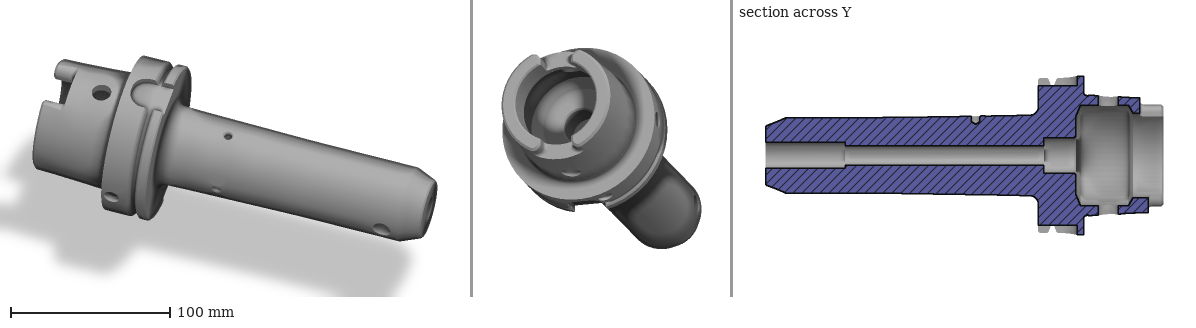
import cadquery as cq
import math


LENGTH = 250.0
FLANGE_START = 50.0
FLANGE_END = 78.7
TAPER_END = 47.0
NECK_TAPER_END = 178.5
NOSE_START = 236.7

SHANK_TIP_RADIUS = 35.7
SHANK_RADIUS = 38.0
TIP_CHAMFER = 1.5
RELIEF_RADIUS = 37.2
RELIEF_LENGTH = 0.7
FACE_FILLET = 1.5

FLANGE_RADIUS = 50.0
FLANGE_CHAMFER = 1.0
GROOVE_CENTRE = 69.7
GROOVE_FLOOR_RADIUS = 45.5
GROOVE_FLOOR_WIDTH = 2.0
GROOVE_MOUTH_WIDTH = 4.7

NECK_FILLET = 5.0
NECK_ROOT_RADIUS = 25.5
NECK_RADIUS = 24.0
NOSE_RADIUS = 19.0
NOSE_CHAMFER = 1.0

CAVITY_RADIUS = 26.5
CAVITY_MOUTH_CHAMFER = 1.0
UNDERCUT_START = 19.2
UNDERCUT_RADIUS = 31.5
CLAMP_SHOULDER_ANGLE = 60.0
CAVITY_FLOOR_RADIUS = 24.5
CAVITY_DEPTH = 55.0
CAVITY_FLOOR_BEVEL = 3.0

COOLANT_THREAD_RADIUS = 11.0
COOLANT_THREAD_CHAMFER = 1.0
COOLANT_THREAD_END = 75.0
COOLANT_RADIUS = 6.0
TOOL_BORE_RADIUS = 8.0
TOOL_BORE_DEPTH = 50.0

DRIVE_SLOT_WIDTH = 20.0
DRIVE_SLOT_DEEP = 14.7
DRIVE_SLOT_SHALLOW = 9.5
DRIVE_SLOT_CORNER = 2.2
DRIVE_SLOT_ROUNDING = 5.0
DRIVE_SLOT_SHOULDER = 32.0

KEYWAY_START = 54.5
KEYWAY_WIDTH = 22.0
KEYWAY_CORNER = 9.7
KEYWAY_FLOOR = 44.0

ACCESS_X = 34.7
ACCESS_DIAMETER = 12.2
CHIP_X = 56.7
CHIP_DIAMETER = 10.0
CHIP_DEPTH = 4.5
INDEX_X = 58.0
INDEX_DIAMETER = 9.2
INDEX_ANGLE = -72.0
BALANCE_X = 118.0
BALANCE_DIAMETER = 5.0
BALANCE_SINK_DIAMETER = 6.7
BALANCE_DEPTH = 3.7
DRILL_POINT_ANGLE = 118.0
DIMPLE_X = 226.2
DIMPLE_DIAMETER = 11.7
DIMPLE_CENTRE_RADIUS = 22.5
VENT_X = 202.5
VENT_DIAMETER = 3.0

FRONT = 0.0
UP = 90.0
VENT_ANGLE = 135.0

ARC_MIDPOINT = 1 - math.sqrt(0.5)


def make_body():
    floor_half = GROOVE_FLOOR_WIDTH / 2
    mouth_half = GROOVE_MOUTH_WIDTH / 2
    rim = FLANGE_RADIUS - FLANGE_CHAMFER
    fillet_end = FLANGE_END + NECK_FILLET
    fillet_top = NECK_ROOT_RADIUS + NECK_FILLET
    arc_offset = NECK_FILLET * ARC_MIDPOINT
    face_arc_offset = FACE_FILLET * ARC_MIDPOINT
    groove_left = GROOVE_CENTRE - mouth_half
    groove_right = GROOVE_CENTRE + mouth_half
    return (
        cq.Workplane("XY")
        .moveTo(0, 0)
        .lineTo(0, SHANK_TIP_RADIUS - TIP_CHAMFER)
        .lineTo(TIP_CHAMFER, SHANK_TIP_RADIUS)
        .lineTo(TAPER_END, SHANK_RADIUS)
        .lineTo(TAPER_END + RELIEF_LENGTH, RELIEF_RADIUS)
        .lineTo(FLANGE_START - FACE_FILLET, SHANK_RADIUS)
        .threePointArc(
            (FLANGE_START - face_arc_offset, SHANK_RADIUS + face_arc_offset),
            (FLANGE_START, SHANK_RADIUS + FACE_FILLET),
        )
        .lineTo(FLANGE_START, FLANGE_RADIUS)
        .lineTo(groove_left - FLANGE_CHAMFER, FLANGE_RADIUS)
        .lineTo(groove_left, rim)
        .lineTo(GROOVE_CENTRE - floor_half, GROOVE_FLOOR_RADIUS)
        .lineTo(GROOVE_CENTRE + floor_half, GROOVE_FLOOR_RADIUS)
        .lineTo(groove_right, rim)
        .lineTo(groove_right + FLANGE_CHAMFER, FLANGE_RADIUS)
        .lineTo(FLANGE_END - FLANGE_CHAMFER, FLANGE_RADIUS)
        .lineTo(FLANGE_END, rim)
        .lineTo(FLANGE_END, fillet_top)
        .threePointArc(
            (FLANGE_END + arc_offset, NECK_ROOT_RADIUS + arc_offset),
            (fillet_end, NECK_ROOT_RADIUS),
        )
        .lineTo(NECK_TAPER_END, NECK_RADIUS)
        .lineTo(NOSE_START, NECK_RADIUS)
        .lineTo(LENGTH - NOSE_CHAMFER, NOSE_RADIUS)
        .lineTo(LENGTH, NOSE_RADIUS - NOSE_CHAMFER)
        .lineTo(LENGTH, 0)
        .close()
        .revolve(360, (0, 0, 0), (1, 0, 0))
    )


def make_axial_cavity():
    shoulder_length = (UNDERCUT_RADIUS - CAVITY_RADIUS) / math.tan(math.radians(CLAMP_SHOULDER_ANGLE))
    tool_bore_floor = LENGTH - TOOL_BORE_DEPTH
    return (
        cq.Workplane("XY")
        .moveTo(0, 0)
        .lineTo(0, CAVITY_RADIUS + CAVITY_MOUTH_CHAMFER)
        .lineTo(CAVITY_MOUTH_CHAMFER, CAVITY_RADIUS)
        .lineTo(UNDERCUT_START, CAVITY_RADIUS)
        .lineTo(UNDERCUT_START + shoulder_length, UNDERCUT_RADIUS)
        .lineTo(CAVITY_DEPTH - CAVITY_FLOOR_BEVEL, UNDERCUT_RADIUS)
        .lineTo(CAVITY_DEPTH, CAVITY_FLOOR_RADIUS)
        .lineTo(CAVITY_DEPTH, COOLANT_THREAD_RADIUS + COOLANT_THREAD_CHAMFER)
        .lineTo(CAVITY_DEPTH + COOLANT_THREAD_CHAMFER, COOLANT_THREAD_RADIUS)
        .lineTo(COOLANT_THREAD_END, COOLANT_THREAD_RADIUS)
        .lineTo(COOLANT_THREAD_END, COOLANT_RADIUS)
        .lineTo(tool_bore_floor, COOLANT_RADIUS)
        .lineTo(tool_bore_floor, TOOL_BORE_RADIUS)
        .lineTo(LENGTH, TOOL_BORE_RADIUS)
        .lineTo(LENGTH, 0)
        .close()
        .revolve(360, (0, 0, 0), (1, 0, 0))
    )


def drive_slot_outline():
    """Slot cross-section on the +Z half, its walls rounding over onto flat shoulders."""
    half = DRIVE_SLOT_WIDTH / 2
    wall_top = DRIVE_SLOT_SHOULDER - DRIVE_SLOT_ROUNDING
    shoulder = half + DRIVE_SLOT_ROUNDING
    setback = DRIVE_SLOT_ROUNDING * ARC_MIDPOINT
    return (
        cq.Workplane("YZ")
        .moveTo(-half, 0)
        .lineTo(-half, wall_top)
        .threePointArc(
            (-half - setback, DRIVE_SLOT_SHOULDER - setback),
            (-shoulder, DRIVE_SLOT_SHOULDER),
        )
        .lineTo(-FLANGE_RADIUS, DRIVE_SLOT_SHOULDER)
        .lineTo(-FLANGE_RADIUS, FLANGE_RADIUS)
        .lineTo(FLANGE_RADIUS, FLANGE_RADIUS)
        .lineTo(FLANGE_RADIUS, DRIVE_SLOT_SHOULDER)
        .lineTo(shoulder, DRIVE_SLOT_SHOULDER)
        .threePointArc(
            (half + setback, DRIVE_SLOT_SHOULDER - setback),
            (half, wall_top),
        )
        .lineTo(half, 0)
        .close()
    )


def make_drive_slot(depth, side):
    """Slot in the +Z (side=1) or -Z (side=-1) shank wall, with rounded end and chamfered mouth."""
    slot = drive_slot_outline().extrude(depth).faces(">X").edges().fillet(DRIVE_SLOT_CORNER)
    mouth = drive_slot_outline().offset2D(TIP_CHAMFER).extrude(TIP_CHAMFER, taper=45)
    slot = slot.union(mouth)
    return slot if side > 0 else slot.rotate((0, 0, 0), (1, 0, 0), 180)


def make_keyway(side):
    """Flat-bottomed round-ended keyway, open towards the neck."""
    length = FLANGE_END - KEYWAY_START
    depth = FLANGE_RADIUS - KEYWAY_FLOOR
    keyway = (
        cq.Workplane("XY", origin=(KEYWAY_START, 0, KEYWAY_FLOOR))
        .box(length, KEYWAY_WIDTH, depth, centered=(False, True, False))
        .edges("<X and |Z")
        .fillet(KEYWAY_CORNER)
    )
    return keyway if side > 0 else keyway.rotate((0, 0, 0), (1, 0, 0), 180)


def radial_plane(x, angle, radius):
    """Workplane on the surface at the given angle from -Y, its normal pointing outwards."""
    a = math.radians(angle)
    normal = (0, -math.cos(a), math.sin(a))
    origin = (x, radius * normal[1], radius * normal[2])
    return cq.Workplane(cq.Plane(origin=origin, xDir=(1, 0, 0), normal=normal))


def radial_hole(x, angle, diameter, outer, inner):
    return radial_plane(x, angle, inner).circle(diameter / 2).extrude(outer - inner)


def balance_hole(angle):
    """Countersunk blind hole with a drill-point bottom."""
    along = (BALANCE_X - FLANGE_END - NECK_FILLET) / (NECK_TAPER_END - FLANGE_END - NECK_FILLET)
    surface = NECK_ROOT_RADIUS + along * (NECK_RADIUS - NECK_ROOT_RADIUS)
    radius = BALANCE_DIAMETER / 2
    sink_radius = BALANCE_SINK_DIAMETER / 2
    floor = surface - BALANCE_DEPTH
    point = radius / math.tan(math.radians(DRILL_POINT_ANGLE / 2))
    profile = (
        cq.Workplane("XZ")
        .moveTo(0, floor - point)
        .lineTo(radius, floor)
        .lineTo(radius, surface - sink_radius + radius)
        .lineTo(sink_radius, surface)
        .lineTo(sink_radius, FLANGE_RADIUS)
        .lineTo(0, FLANGE_RADIUS)
        .close()
    )
    hole = profile.revolve(360, (0, 0, 0), (0, 1, 0))
    return hole.rotate((0, 0, 0), (1, 0, 0), UP - angle).translate((BALANCE_X, 0, 0))


def ball_dimple():
    """Short round recess on the -Y side, ending in a hemisphere."""
    radius = DIMPLE_DIAMETER / 2
    ball_centre = -DIMPLE_CENTRE_RADIUS
    return (
        cq.Workplane("XY")
        .moveTo(DIMPLE_X, ball_centre + radius)
        .threePointArc(
            (DIMPLE_X + radius * math.sqrt(0.5), ball_centre + radius * math.sqrt(0.5)),
            (DIMPLE_X + radius, ball_centre),
        )
        .lineTo(DIMPLE_X + radius, -FLANGE_RADIUS)
        .lineTo(DIMPLE_X, -FLANGE_RADIUS)
        .close()
        .revolve(360, (DIMPLE_X, 0, 0), (DIMPLE_X, 1, 0))
    )


result = make_body().cut(make_axial_cavity())
result = result.cut(make_drive_slot(DRIVE_SLOT_DEEP, 1))
result = result.cut(make_drive_slot(DRIVE_SLOT_SHALLOW, -1))
for side in (1, -1):
    result = result.cut(make_keyway(side))

result = result.cut(radial_hole(ACCESS_X, UP, ACCESS_DIAMETER, FLANGE_RADIUS, -FLANGE_RADIUS))

pocket_floor = FLANGE_RADIUS - CHIP_DEPTH
result = result.cut(radial_hole(CHIP_X, FRONT, CHIP_DIAMETER, FLANGE_RADIUS, pocket_floor))
result = result.cut(radial_hole(INDEX_X, INDEX_ANGLE, INDEX_DIAMETER, FLANGE_RADIUS, pocket_floor))

for angle in (FRONT, UP):
    result = result.cut(balance_hole(angle))

result = result.cut(ball_dimple())
result = result.cut(radial_hole(VENT_X, VENT_ANGLE, VENT_DIAMETER, NECK_RADIUS, 0))